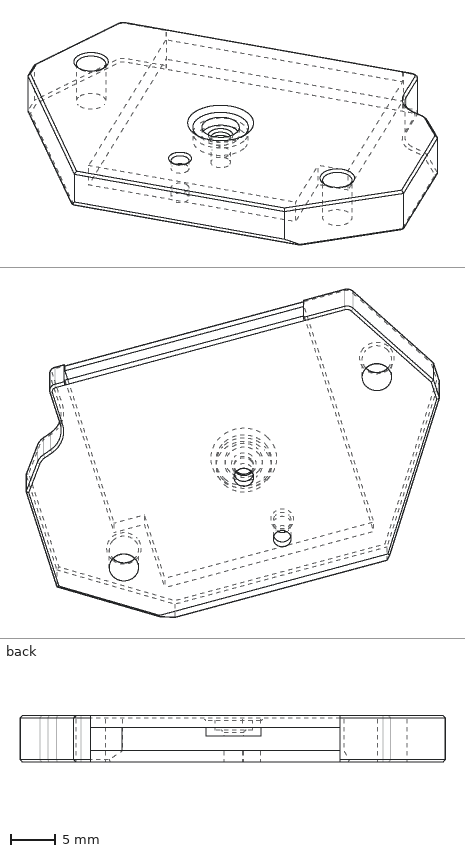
import cadquery as cq

length = 48.0
width = 31.9
thickness = 5.3
edge_chamfer = 0.3
front_bevel = 1.3

left_side_low = 18.0
left_side_high = 20.35
front_left = 11.45
front_right = 36.45
right_side_low = 7.8
right_side_high = 20.1
back_left = 6.5
back_right = 41.95
shoulder_inner_y = 25.0
shoulder_outer = (45.4, 23.7)

back_left_radius = 1.0
back_right_radius = 0.8
shoulder_inner_radius = 3.0
shoulder_outer_radius = 2.0

mouth_left = 11.9
mouth_right = 40.05
lip_setback = edge_chamfer
skin = 1.35
cavity_front = 3.85
cavity_step_x = 36.5
cavity_step_y = 12.0

mount_diameter = 3.3
mount_centers = [(6.0, 22.6), (40.05, 8.1)]
pin_diameter = 2.0
pin_center = (21.9, 6.5)
rim_chamfer = 0.3

center_hole = (23.9, 15.0)
recess_diameter = 7.45
recess_depth = 0.6
counterbore_diameter = 4.2
counterbore_depth = 1.05
bore_diameter = 2.2
boss_diameter = 6.25
boss_depth = 2.35


def make_plate():
    corners = [
        (0, left_side_low),
        (front_left, 0),
        (front_right, 0),
        (length, right_side_low),
        (length, right_side_high),
        shoulder_outer,
        (back_right, shoulder_inner_y),
        (back_right, width),
        (back_left, width),
        (0, left_side_high),
    ]
    rounded_corners = [
        ((back_left, width), back_left_radius),
        ((back_right, width), back_right_radius),
        ((back_right, shoulder_inner_y), shoulder_inner_radius),
        (shoulder_outer, shoulder_outer_radius),
    ]
    plate = cq.Workplane("XY").polyline(corners).close().extrude(thickness)
    for (x, y), radius in rounded_corners:
        nearest = cq.selectors.NearestToPointSelector((x, y, thickness / 2))
        plate = plate.edges("|Z").edges(nearest).fillet(radius)
    return plate.faces("<Z or >Z").edges().chamfer(edge_chamfer)


def make_front_bevel():
    profile = [(0, 0), (front_bevel, 0), (0, front_bevel)]
    return cq.Workplane("YZ").polyline(profile).close().extrude(length)


def make_lip_setback():
    size = (mouth_right - mouth_left, lip_setback, thickness)
    corner = (mouth_left, width - lip_setback, 0)
    return cq.Workplane("XY").box(*size, centered=False).translate(corner)


def make_cavity():
    """Space between the two skins, stepped clear of the right mounting hole, less the centre boss."""
    outline = [
        (mouth_left, width),
        (mouth_left, cavity_front),
        (cavity_step_x, cavity_front),
        (cavity_step_x, cavity_step_y),
        (mouth_right, cavity_step_y),
        (mouth_right, width),
    ]
    floor = cq.Workplane("XY").workplane(offset=skin)
    cavity = floor.polyline(outline).close().extrude(thickness - 2 * skin)
    boss_end = cq.Workplane("XY").workplane(offset=thickness - boss_depth)
    boss = boss_end.center(*center_hole).circle(boss_diameter / 2).extrude(boss_depth)
    return cavity.cut(boss)


def make_bore(center, profile):
    """Revolve (radius, depth below the top face) steps about a vertical axis."""
    points = [(radius, thickness - depth) for radius, depth in profile]
    outline = [(0, thickness)] + points + [(0, 0)]
    bore = cq.Workplane("XZ").polyline(outline).close().revolve(axisStart=(0, 0), axisEnd=(0, 1))
    return bore.translate((*center, 0))


def make_rimmed_hole(center, diameter):
    radius = diameter / 2
    profile = [
        (radius + rim_chamfer, 0),
        (radius, rim_chamfer),
        (radius, thickness),
    ]
    return make_bore(center, profile)


def make_center_hole():
    recess_radius = recess_diameter / 2
    counterbore_radius = counterbore_diameter / 2
    bore_radius = bore_diameter / 2
    counterbore_floor = recess_depth + counterbore_depth
    profile = [
        (recess_radius, 0),
        (recess_radius - recess_depth, recess_depth),
        (counterbore_radius, recess_depth),
        (counterbore_radius, counterbore_floor),
        (bore_radius + rim_chamfer, counterbore_floor),
        (bore_radius, counterbore_floor + rim_chamfer),
        (bore_radius, thickness),
    ]
    return make_bore(center_hole, profile)


result = make_plate().cut(make_front_bevel()).cut(make_lip_setback()).cut(make_cavity())
for mount_center in mount_centers:
    result = result.cut(make_rimmed_hole(mount_center, mount_diameter))
result = result.cut(make_rimmed_hole(pin_center, pin_diameter)).cut(make_center_hole())